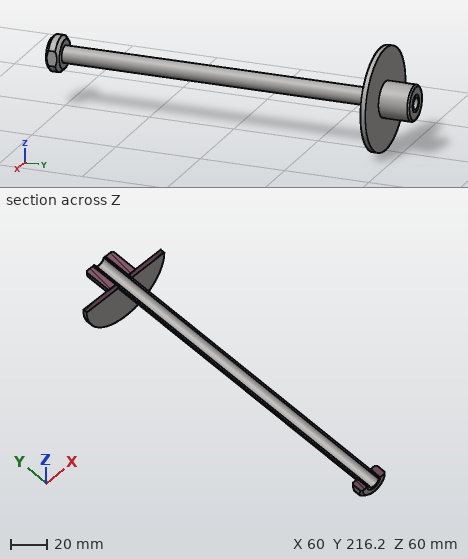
import cadquery as cq

TOTAL_LENGTH = 216.2

TUBE_DIAMETER = 10.0
TUBE_BORE_DIAMETER = 7.0

COLLAR_DIAMETER = 20.95
COLLAR_LENGTH = 18.0
COLLAR_CHAMFER = 1.0

FLANGE_DIAMETER = 60.0
FLANGE_THICKNESS = 3.0

KNOB_DIAMETER = 20.95
KNOB_LENGTH = 8.0
KNOB_CHAMFER = 2.0
KNOB_WIDTH_ACROSS_FLATS = 19.0

COLLAR_START = TOTAL_LENGTH - COLLAR_LENGTH
FLANGE_START = COLLAR_START - FLANGE_THICKNESS


def cylinder(diameter, start, length):
    """Solid cylinder along +Y beginning at Y = start."""
    plane = cq.Workplane("XZ", origin=(0, start, 0))
    return plane.circle(diameter / 2).extrude(-length)


def make_tube():
    """Hollow tube running the full length through the other bodies."""
    outside = cylinder(TUBE_DIAMETER, 0, TOTAL_LENGTH)
    return outside.cut(cylinder(TUBE_BORE_DIAMETER, 0, TOTAL_LENGTH))


def make_knob(tube_hole):
    """Disc chamfered on both rims, with two flats facing -X and +X."""
    disc = cylinder(KNOB_DIAMETER, 0, KNOB_LENGTH).edges("%CIRCLE").chamfer(KNOB_CHAMFER)
    between_flats = cq.Workplane("XY").box(
        KNOB_WIDTH_ACROSS_FLATS, KNOB_LENGTH, KNOB_DIAMETER, centered=(True, False, True)
    )
    return disc.intersect(between_flats).cut(tube_hole)


def make_flange(tube_hole):
    """Thin round plate seated against the collar."""
    return cylinder(FLANGE_DIAMETER, FLANGE_START, FLANGE_THICKNESS).cut(tube_hole)


def make_collar(tube_hole):
    """Round collar behind the flange, chamfered at its free end."""
    body = cylinder(COLLAR_DIAMETER, COLLAR_START, COLLAR_LENGTH)
    return body.faces(">Y").chamfer(COLLAR_CHAMFER).cut(tube_hole)


tube_hole = cylinder(TUBE_DIAMETER, 0, TOTAL_LENGTH)

tube = make_tube()
knob = make_knob(tube_hole)
flange = make_flange(tube_hole)
collar = make_collar(tube_hole)

bodies = [tube, knob, flange, collar]
result = cq.Compound.makeCompound([body.solids().val() for body in bodies])